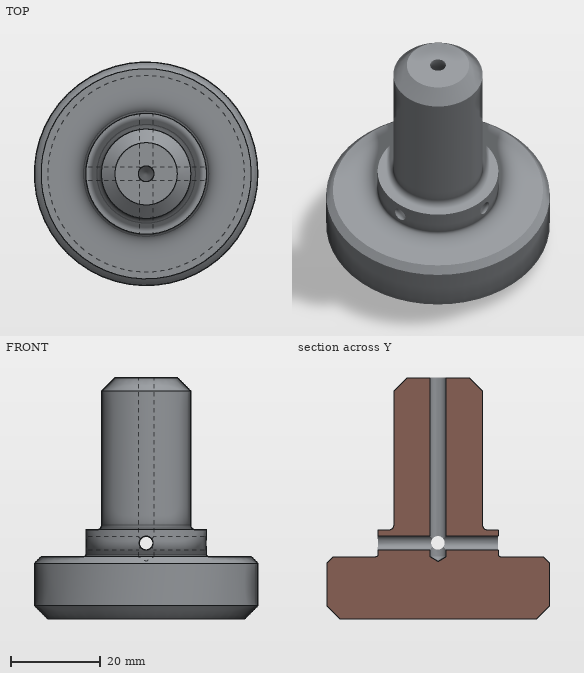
import cadquery as cq
import math

height = 54.0

flange_dia = 50.0
flange_height = 14.0
flange_bottom_chamfer = 3.0
flange_top_chamfer = 1.5

collar_dia = 27.0
collar_height = 6.0
collar_root_radius = 0.5

shaft_dia = 20.0
shaft_root_radius = 1.0
shaft_chamfer = 3.0

cross_hole_dia = 3.0
center_hole_dia = 3.5
drill_point_angle = 118.0

flange_radius = flange_dia / 2
collar_radius = collar_dia / 2
shaft_radius = shaft_dia / 2
collar_top = flange_height + collar_height
cross_hole_z = flange_height + collar_height / 2
center_hole_shoulder_z = flange_height


def root_fillet(profile, radius, foot_z, root_radius):
    """Continue a profile along a face at foot_z and up a wall of the given radius with a concave arc."""
    inset = root_radius * (1 - math.sqrt(0.5))
    return profile.lineTo(radius + root_radius, foot_z).threePointArc(
        (radius + inset, foot_z + inset),
        (radius, foot_z + root_radius),
    )


def turned_body():
    """Flange, collar and shaft revolved from one half profile."""
    profile = (
        cq.Workplane("XZ")
        .lineTo(flange_radius - flange_bottom_chamfer, 0)
        .lineTo(flange_radius, flange_bottom_chamfer)
        .lineTo(flange_radius, flange_height - flange_top_chamfer)
        .lineTo(flange_radius - flange_top_chamfer, flange_height)
    )
    profile = root_fillet(profile, collar_radius, flange_height, collar_root_radius)
    profile = profile.lineTo(collar_radius, collar_top)
    profile = root_fillet(profile, shaft_radius, collar_top, shaft_root_radius)
    profile = (
        profile.lineTo(shaft_radius, height - shaft_chamfer)
        .lineTo(shaft_radius - shaft_chamfer, height)
        .lineTo(0, height)
        .close()
    )
    return profile.revolve(360, (0, 0, 0), (0, 1, 0))


def center_hole():
    """Blind hole from the shaft top through the cross holes, ending in a conical drill point."""
    radius = center_hole_dia / 2
    tip_depth = radius / math.tan(math.radians(drill_point_angle / 2))
    return (
        cq.Workplane("XZ")
        .moveTo(0, height)
        .lineTo(radius, height)
        .lineTo(radius, center_hole_shoulder_z)
        .lineTo(0, center_hole_shoulder_z - tip_depth)
        .close()
        .revolve(360, (0, 0, 0), (0, 1, 0))
    )


def cross_hole(plane):
    """Hole passing right through the collar, normal to the given vertical plane."""
    return (
        cq.Workplane(plane)
        .center(0, cross_hole_z)
        .circle(cross_hole_dia / 2)
        .extrude(collar_dia, both=True)
    )


result = turned_body().cut(center_hole())
for plane in ("XZ", "YZ"):
    result = result.cut(cross_hole(plane))